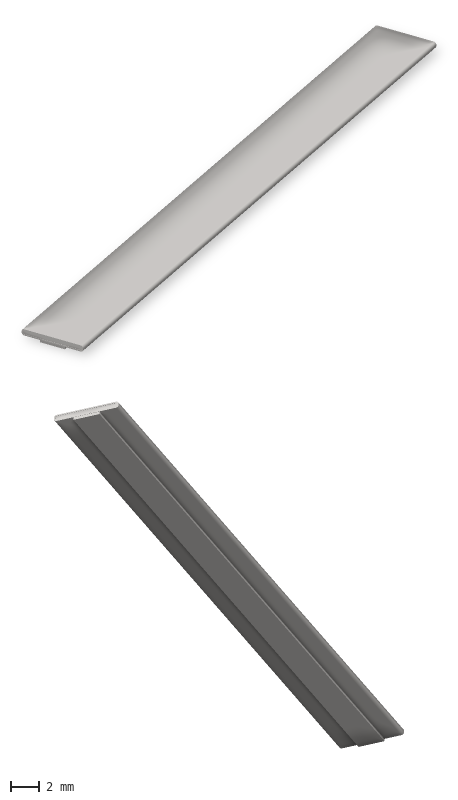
import cadquery as cq

length = 50.0
plate_width = 5.0
total_height = 0.7

plate_thickness = 0.5
edge_radius = 0.2

rim = 0.1
end_setback = 0.025

rib_width = 2.0
rib_height = total_height - plate_thickness
inner_length = length - 2 * end_setback


def rounded_bar(width, bar_length, thickness, radius, bottom):
    """Bar along Y, centred in X and Y, with all four long edges rounded."""
    bar = cq.Workplane("XY").box(width, bar_length, thickness, centered=(True, True, False))
    return bar.edges("|Y").fillet(radius).translate((0, 0, bottom))


def make_end_recesses():
    """Two thin slabs, one at each end, following the plate profile inset by the rim."""
    recess_width = plate_width - 2 * rim
    recess_height = plate_thickness - 2 * rim
    recess_radius = edge_radius - rim
    recess_bottom = rib_height + rim
    outer = rounded_bar(recess_width, length, recess_height, recess_radius, recess_bottom)
    core = rounded_bar(recess_width, inner_length, recess_height, recess_radius, recess_bottom)
    return outer.cut(core)


def make_rib():
    """Square-edged rib centred under the plate, set back slightly at both ends."""
    return cq.Workplane("XY").box(rib_width, inner_length, rib_height, centered=(True, True, False))


plate = rounded_bar(plate_width, length, plate_thickness, edge_radius, rib_height)
result = plate.cut(make_end_recesses()).union(make_rib())